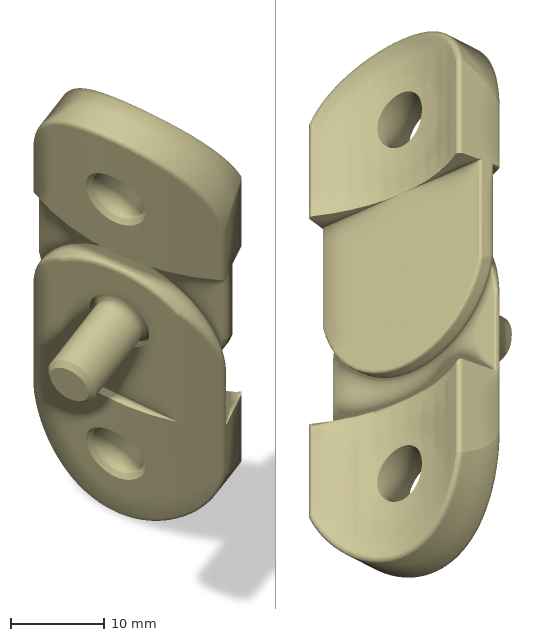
import cadquery as cq
import math

leaf_length = 40.0
end_radius = 12.0
leaf_thickness = 5.5
front_radius = 27.0
back_radius = front_radius - leaf_thickness
side_draft = math.radians(10.0)
edge_fillet = 0.5

overall_length = 63.0
axis_z = overall_length / 2
head_length = 19.0
recess_y = 1.0
joint_y = 3.5
tongue_back_fillet = 0.3

screw_hole_diameter = 6.5
screw_hole_chamfer = 0.5
screw_hole_from_end = 10.0

stud_diameter = 6.0
stud_tip_y = -9.35
stud_chamfer = 0.6
shank_diameter = 7.5
shoulder_length = 1.0

margin = 5.0
tool_width = 2 * (end_radius + margin)
tool_depth = leaf_thickness + end_radius

draft_start_y = front_radius - math.sqrt(
    (front_radius - edge_fillet) ** 2 - (end_radius - edge_fillet) ** 2
)


def half_width_at(y):
    return end_radius - (y - draft_start_y) * math.tan(side_draft)


def nearest(x, y, z):
    return cq.selectors.NearestToPointSelector((x, y, z))


def cylinder_along_y(diameter, y_start, y_end, z):
    plane = cq.Plane(origin=(0, y_start, z), xDir=(1, 0, 0), normal=(0, 1, 0))
    return cq.Workplane(plane).circle(diameter / 2).extrude(y_end - y_start)


def slab(y_start, y_end, z_start, z_end):
    """Block wider than the leaf, between two Y planes and two Z planes."""
    return (
        cq.Workplane("XY", origin=(0, y_start, z_start))
        .box(tool_width, y_end - y_start, z_end - z_start, centered=(True, False, False))
    )


def capsule(y_start, y_end):
    """Upright plate with round ends, standing on Z = 0."""
    return (
        cq.Workplane("XZ", origin=(0, y_start, leaf_length / 2))
        .slot2D(leaf_length, 2 * end_radius, 90)
        .extrude(y_start - y_end)
    )


def curved_capsule():
    """Leaf with straight sides and sharp edges; the middle of its convex front lies on Y = 0."""
    strip = (
        cq.Workplane("XY", origin=(0, front_radius, 0))
        .circle(front_radius)
        .circle(back_radius)
        .extrude(leaf_length)
    )
    return strip.intersect(capsule(0, tool_depth))


def draft_sides(leaf):
    for side in (-1, 1):
        wedge = (
            cq.Workplane("XY")
            .moveTo(side * end_radius, draft_start_y)
            .lineTo(side * half_width_at(tool_depth), tool_depth)
            .lineTo(side * (end_radius + margin), tool_depth)
            .lineTo(side * (end_radius + margin), draft_start_y)
            .close()
            .extrude(leaf_length)
        )
        leaf = leaf.cut(wedge)
    return leaf


def round_back_edges(leaf, face_height):
    """Fillet the rim of the concave back face, whose height along Z is given."""
    return leaf.faces(nearest(0, leaf_thickness, face_height / 2)).edges().fillet(edge_fillet)


def drill_screw_hole(leaf):
    leaf = leaf.cut(cylinder_along_y(screw_hole_diameter, 0, tool_depth, screw_hole_from_end))
    rim = nearest(0, 0, screw_hole_from_end + screw_hole_diameter / 2)
    return leaf.edges(rim).chamfer(screw_hole_chamfer)


def drill_pin_hole(leaf):
    return leaf.cut(cylinder_along_y(shank_diameter, 0, tool_depth, axis_z))


def on_outline(edge):
    """Whether the middle of an edge lies on the capsule outline."""
    middle = edge.positionAt(0.5)
    straight_end = leaf_length - end_radius
    beyond = max(end_radius - middle.z, middle.z - straight_end, 0)
    return math.isclose(math.hypot(middle.x, beyond), end_radius, abs_tol=1e-3)


def make_front_leaf():
    """Lower leaf, whose tongue lies in front and has a flat recess around the pin."""
    leaf = curved_capsule().cut(slab(-margin, recess_y, head_length, leaf_length))
    curved_face = leaf.faces(nearest(0, 0, head_length / 2)).val()
    recess_face = leaf.faces(nearest(0, recess_y, axis_z)).val()
    front_edges = curved_face.Edges() + recess_face.Edges()
    leaf = leaf.newObject([e for e in front_edges if on_outline(e)]).fillet(edge_fillet)
    leaf = leaf.cut(slab(joint_y, tool_depth, head_length, leaf_length))
    tongue_back = leaf.faces(nearest(0, joint_y, axis_z)).val().Edges()
    leaf = leaf.newObject([e for e in tongue_back if on_outline(e)]).fillet(tongue_back_fillet)
    leaf = round_back_edges(draft_sides(leaf), head_length)
    return drill_pin_hole(drill_screw_hole(leaf))


def make_back_tongue():
    """Flat tongue with drafted sides; its side edges and its round end are filleted apart."""
    front_x = half_width_at(joint_y)
    back_x = half_width_at(leaf_thickness)
    bar = (
        cq.Workplane("XY", origin=(0, 0, head_length))
        .polyline([
            (-front_x, joint_y), (front_x, joint_y), (back_x, leaf_thickness), (-back_x, leaf_thickness),
        ])
        .close()
        .extrude(leaf_length - head_length)
    )
    bar = bar.faces("<Y").edges("|Z").fillet(edge_fillet)
    bar = bar.faces(">Y").edges("|Z").fillet(tongue_back_fillet)
    outline = capsule(joint_y, leaf_thickness)
    outline = outline.faces("<Y").edges().fillet(edge_fillet)
    outline = outline.faces(">Y").edges().fillet(tongue_back_fillet)
    return bar.intersect(outline)


def make_back_leaf():
    """Upper leaf, head up, whose tongue lies behind the front leaf's tongue."""
    leaf = curved_capsule()
    leaf = leaf.faces(nearest(0, 0, leaf_length / 2)).edges().fillet(edge_fillet)
    leaf = round_back_edges(draft_sides(leaf), leaf_length)
    head = leaf.cut(slab(-margin, tool_depth, head_length, leaf_length))
    leaf = drill_pin_hole(drill_screw_hole(head.union(make_back_tongue())))
    return leaf.rotate((0, 0, axis_z), (0, 1, axis_z), 180)


def make_pin():
    """Shank running from the recess to the back of the tongues, sloping down to the stud in front."""
    shoulder = (shank_diameter - stud_diameter) / 2
    shank = cylinder_along_y(shank_diameter, recess_y, leaf_thickness, axis_z)
    stud = cylinder_along_y(stud_diameter, stud_tip_y, recess_y, axis_z)
    return shank.faces("<Y").chamfer(shoulder_length, shoulder).union(stud.faces("<Y").chamfer(stud_chamfer))


front_leaf = make_front_leaf()
back_leaf = make_back_leaf()
pin = make_pin()

result = cq.Compound.makeCompound([front_leaf.val(), back_leaf.val(), pin.val()])